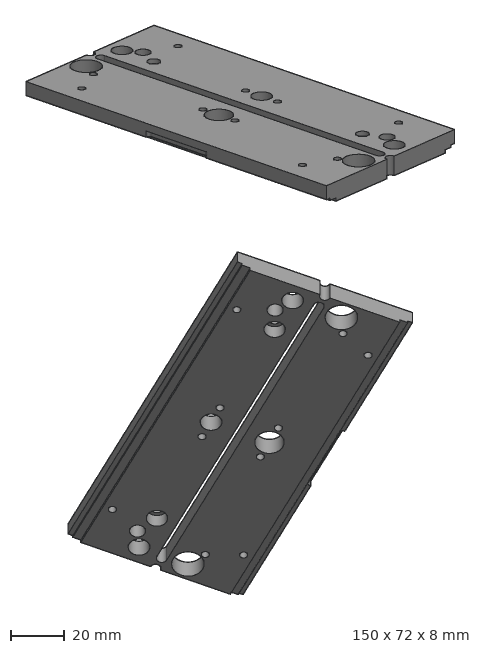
import cadquery as cq

length = 150.0
width = 72.0
thickness = 8.0

lower_step_width = 5.2
lower_step_height = 1.4
upper_step_width = 2.0
upper_step_height = 2.2

slot_width = 4.0
slot_length = 143.0

recess_width = 30.0
recess_top = 4.8
recess_depth = 1.5
recess_corner_radius = 1.0

screw_diameter = 3.0
center_hole_y = 12.0
rear_center_diameter = 8.1
front_center_diameter = 11.0
mirrored_holes = [
    (55.0, 27.0, screw_diameter),
    (55.0, -27.0, screw_diameter),
    (60.9, 14.0, 6.0),
    (60.9, -14.0, screw_diameter),
    (68.0, 10.0, 8.1),
    (68.0, -10.0, 12.2),
    (8.0, center_hole_y, screw_diameter),
    (8.0, -center_hole_y, screw_diameter),
]

bolt_x = 52.0
bolt_y = 10.0
bolt_diameter = 5.1
bolt_head_diameter = 8.0
bolt_head_depth = 6.0


def stepped_plate():
    """Plate whose long lower edges are cut back in two steps."""
    half = width / 2
    right_side = [
        (half - lower_step_width, 0),
        (half - lower_step_width, lower_step_height),
        (half - upper_step_width, lower_step_height),
        (half - upper_step_width, upper_step_height),
        (half, upper_step_height),
        (half, thickness),
    ]
    left_side = [(-y, z) for y, z in reversed(right_side)]
    profile = cq.Workplane("YZ").polyline(right_side + left_side).close()
    return profile.extrude(length / 2, both=True)


def cylinder(x, y, diameter, height=thickness):
    """Upright cylinder standing on the underside of the plate."""
    return cq.Workplane("XY").center(x, y).circle(diameter / 2).extrude(height)


def slot():
    return cq.Workplane("XY").slot2D(slot_length, slot_width).extrude(thickness)


def front_recess():
    """Block with rounded inner corners, centred on the front face."""
    block = cq.Workplane("XY").box(
        recess_width, 2 * recess_depth, recess_top, centered=(True, True, False)
    )
    block = block.edges("|Z and >Y").fillet(recess_corner_radius)
    return block.translate((0, -width / 2, 0))


result = stepped_plate().cut(slot()).cut(front_recess())
result = result.cut(cylinder(0, center_hole_y, rear_center_diameter))
result = result.cut(cylinder(0, -center_hole_y, front_center_diameter))
for side in (-1, 1):
    result = result.cut(cylinder(side * length / 2, 0, slot_width))
    for x, y, diameter in mirrored_holes:
        result = result.cut(cylinder(side * x, y, diameter))
    result = result.cut(cylinder(side * bolt_x, bolt_y, bolt_diameter))
    result = result.cut(cylinder(side * bolt_x, bolt_y, bolt_head_diameter, bolt_head_depth))